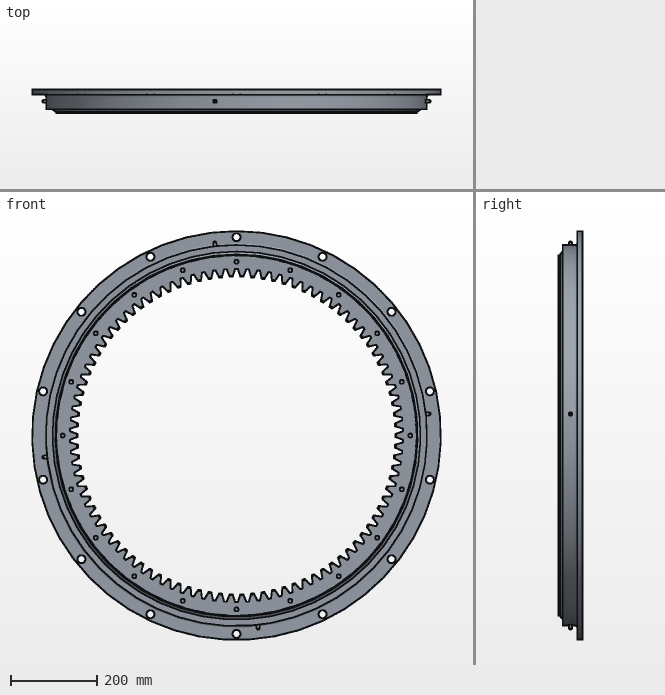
import cadquery as cq
import math

TOTAL_WIDTH = 56.0

FLANGE_RADIUS = 474.0
FLANGE_THICKNESS = 12.0
OUTER_RING_RADIUS = 442.0
OUTER_RING_WIDTH = 46.0
FLANGE_FILLET = 5.0
OUTER_BORE_RADIUS = 420.0
FLANGE_HOLE_COUNT = 14
FLANGE_HOLE_CIRCLE_RADIUS = 460.0
FLANGE_HOLE_DIAMETER = 18.0

INNER_RING_RADIUS = 418.0
INNER_RING_WIDTH = 45.5
TOOTH_COUNT = 94
TOOTH_TIP_RADIUS = 368.0
TOOTH_ROOT_RADIUS = 386.0
GAP_WIDTH_AT_TIP = 18.0
GAP_WIDTH_AT_ROOT = 6.0
GAP_OVERCUT = 5.0
TOOTH_TIP_CHAMFER = 3.0
FRONT_HOLE_COUNT = 20
FRONT_HOLE_CIRCLE_RADIUS = 403.0
FRONT_HOLE_DIAMETER = 9.5
FRONT_HOLE_DEPTH = 19.0
DRILL_POINT_ANGLE = 118

SEAL_BASE_RADIUS = 427.0
SEAL_LIP_RADIUS = 420.0
SEAL_WIDTH = 6.0

NIPPLE_COUNT = 4
NIPPLE_DIAMETER = 8.0
NIPPLE_TIP_RADIUS = 453.0
NIPPLE_CHAMFER = 3.0
NIPPLE_SEAT_DEPTH = 8.0
NIPPLE_TURN = 360 / FLANGE_HOLE_COUNT / 4

nipple_seat_radius = OUTER_RING_RADIUS - NIPPLE_SEAT_DEPTH


def revolve_about_y(outline):
    """Close an outline of (Y, radius) points in the YZ plane and turn it once around the Y axis."""
    return outline.close().revolve(360, (0, 0, 0), (1, 0, 0))


def front_plane(y):
    """Plane across the axis at height y, facing -Y, with local x = X and local y = Z."""
    return cq.Workplane("XZ", origin=(0, y, 0))


def make_nipple(turn):
    """Round nipple with a chamfered tip, turned about the ring axis away from +Z."""
    return (
        cq.Workplane("XY", origin=(0, -TOTAL_WIDTH / 2, nipple_seat_radius))
        .circle(NIPPLE_DIAMETER / 2)
        .extrude(NIPPLE_TIP_RADIUS - nipple_seat_radius)
        .faces(">Z")
        .chamfer(NIPPLE_CHAMFER)
        .rotate((0, 0, 0), (0, 1, 0), turn)
    )


def make_nipples():
    return [make_nipple(i * 360 / NIPPLE_COUNT - NIPPLE_TURN) for i in range(NIPPLE_COUNT)]


def make_outer_ring(nipples):
    """Flanged ring with a filleted corner, bolt holes and a seat for each nipple."""
    fillet_end_y = -FLANGE_THICKNESS - FLANGE_FILLET
    fillet_start_radius = OUTER_RING_RADIUS + FLANGE_FILLET
    fillet_middle = FLANGE_FILLET * (1 - math.sqrt(0.5))
    ring = revolve_about_y(
        cq.Workplane("YZ")
        .moveTo(0, OUTER_BORE_RADIUS)
        .lineTo(0, FLANGE_RADIUS)
        .lineTo(-FLANGE_THICKNESS, FLANGE_RADIUS)
        .lineTo(-FLANGE_THICKNESS, fillet_start_radius)
        .threePointArc(
            (-FLANGE_THICKNESS - fillet_middle, OUTER_RING_RADIUS + fillet_middle),
            (fillet_end_y, OUTER_RING_RADIUS),
        )
        .lineTo(-OUTER_RING_WIDTH, OUTER_RING_RADIUS)
        .lineTo(-OUTER_RING_WIDTH, OUTER_BORE_RADIUS)
    )
    bolt_holes = (
        front_plane(0)
        .polarArray(FLANGE_HOLE_CIRCLE_RADIUS, 90, 360, FLANGE_HOLE_COUNT)
        .circle(FLANGE_HOLE_DIAMETER / 2)
        .extrude(FLANGE_THICKNESS)
    )
    ring = ring.cut(bolt_holes)
    for nipple in nipples:
        ring = ring.cut(nipple)
    return ring


def make_tooth_gaps():
    """Tapered gaps between the teeth, the first one at +Z."""
    flank_slope = (GAP_WIDTH_AT_TIP - GAP_WIDTH_AT_ROOT) / (TOOTH_ROOT_RADIUS - TOOTH_TIP_RADIUS)
    inner_half = (GAP_WIDTH_AT_TIP + GAP_OVERCUT * flank_slope) / 2
    gap = (
        front_plane(0)
        .moveTo(-inner_half, TOOTH_TIP_RADIUS - GAP_OVERCUT)
        .lineTo(inner_half, TOOTH_TIP_RADIUS - GAP_OVERCUT)
        .lineTo(GAP_WIDTH_AT_ROOT / 2, TOOTH_ROOT_RADIUS)
        .lineTo(-GAP_WIDTH_AT_ROOT / 2, TOOTH_ROOT_RADIUS)
        .close()
        .extrude(TOTAL_WIDTH)
        .val()
    )
    return [gap.rotate((0, 0, 0), (0, 1, 0), i * 360 / TOOTH_COUNT) for i in range(TOOTH_COUNT)]


def make_front_holes():
    """Blind drilled holes with conical bottoms, sunk from the front face."""
    radius = FRONT_HOLE_DIAMETER / 2
    point_length = radius / math.tan(math.radians(DRILL_POINT_ANGLE / 2))
    front_y = -TOTAL_WIDTH
    hole = (
        cq.Workplane("YZ")
        .moveTo(front_y, 0)
        .lineTo(front_y, radius)
        .lineTo(front_y + FRONT_HOLE_DEPTH, radius)
        .lineTo(front_y + FRONT_HOLE_DEPTH + point_length, 0)
    )
    hole = revolve_about_y(hole).translate((0, 0, FRONT_HOLE_CIRCLE_RADIUS)).val()
    return [hole.rotate((0, 0, 0), (0, 1, 0), i * 360 / FRONT_HOLE_COUNT) for i in range(FRONT_HOLE_COUNT)]


def make_inner_ring():
    """Ring with chamfered bore edges, cut into teeth and drilled from the front."""
    back_y = INNER_RING_WIDTH - TOTAL_WIDTH
    ring = (
        front_plane(back_y)
        .circle(INNER_RING_RADIUS)
        .circle(TOOTH_TIP_RADIUS)
        .extrude(INNER_RING_WIDTH)
        .edges(cq.selectors.RadiusNthSelector(0))
        .chamfer(TOOTH_TIP_CHAMFER)
    )
    return cq.Workplane(ring.val().cut(*make_tooth_gaps(), *make_front_holes()))


def make_seal():
    """Ring on the outer ring's front face, sloping down outwards and closing the gap."""
    return revolve_about_y(
        cq.Workplane("YZ", origin=(0, -OUTER_RING_WIDTH, 0))
        .moveTo(0, INNER_RING_RADIUS)
        .lineTo(0, SEAL_BASE_RADIUS)
        .lineTo(-SEAL_WIDTH, SEAL_LIP_RADIUS)
        .lineTo(-SEAL_WIDTH, INNER_RING_RADIUS)
    )


nipples = make_nipples()
outer_ring = make_outer_ring(nipples)
inner_ring = make_inner_ring()
seal = make_seal()

result = cq.Compound.makeCompound(
    [outer_ring.val(), inner_ring.val(), seal.val(), *[nipple.val() for nipple in nipples]]
)